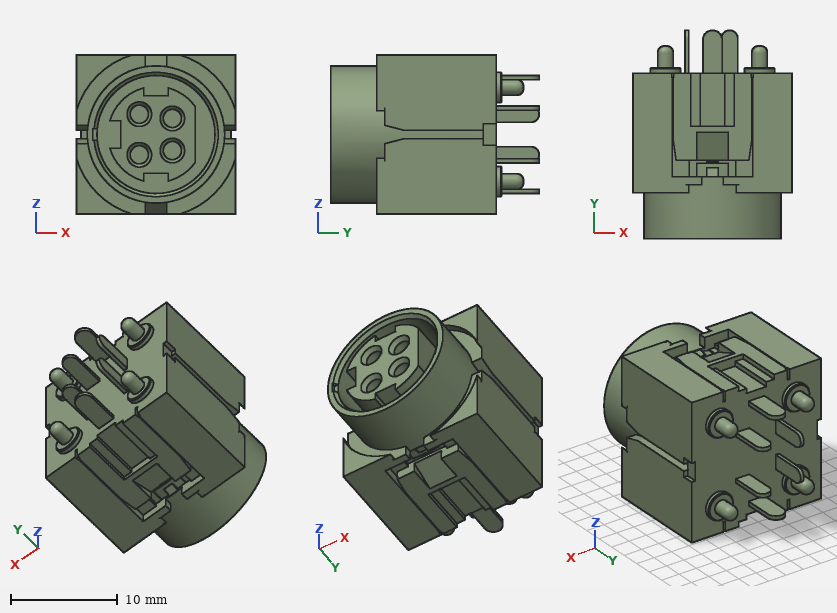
import cadquery as cq

housing_side = 14.9
half_side = housing_side / 2
housing_front = -11.2
recess_radius = 7.77
recess_floor = -10.43

shell_front = -15.5
shell_radius = 6.42
bore_radius = 5.52
bore_mouth_radius = 5.82
bore_taper_depth = 0.4
bore_depth = 9.0
mouth_notch_radius = 5.92
mouth_notch_width = 1.04

insert_radius = 4.5
insert_flat_x = 3.69
keyway_width = 2.26
keyway_floor_z = 3.6
side_keyway_width = 2.56
side_keyway_floor_x = -3.31

socket_positions = [(-1.56, 1.9), (-1.56, -1.9), (1.53, 1.5), (1.53, -1.5)]
socket_radius = 0.85
socket_mouth_radius = 1.15
socket_mouth_depth = 0.5
socket_depth = 5.0

slot_width = 0.76
slot_mouth_width = 1.72
slot_flare_start = -8.6
plug_depth = 1.25
plug_width = 2.0
plug_face_x = 7.03

window_front = -9.69
window_width = 7.5
window_floor = 6.4
window_channel_width = 4.32
window_channel_floor = 6.02
tongue_front = -8.18
tongue_width = 7.34
tongue_tip_width = 6.8
tongue_taper_start = -6.3
gap_relief_depth = 0.38
gap_relief_inner = 3.60
gap_relief_outer = 3.82
groove_end = -4.96
groove_step = 0.5
groove_widths = [4.06, 2.26]
ramp_width = 2.98
ramp_start = -5.52
ramp_floor = 6.4
front_slot_width = 2.0
latch_pocket_rear = -8.46
latch_pocket_radius = 6.12
catch_width = 1.04
catch_start = -8.87
catch_height = 0.22
catch_slot_rear = -8.3
catch_slot_depth = 0.2

terminal_length = 4.0
terminals = [
    (0.0, 5.32, 1.82, 0.44),
    (1.6, 2.46, 1.56, 0.42),
    (-2.4, 1.9, 0.38, 1.54),
]

peg_offset = 4.4
peg_radius = 0.74
peg_length = 2.53
peg_dome = 0.62
peg_base_radius = 1.43
peg_base_height = 0.5
peg_base_chamfer = 0.1


def box(x_range, y_range, z_range):
    """Box between the given pairs of limits."""
    lows = [min(limits) for limits in (x_range, y_range, z_range)]
    sizes = [abs(limits[1] - limits[0]) for limits in (x_range, y_range, z_range)]
    return cq.Workplane("XY").box(*sizes, centered=False).translate(tuple(lows))


def rod(radius, y_start, y_end, x=0.0, z=0.0):
    """Cylinder along Y."""
    low = min(y_start, y_end)
    plane = cq.Workplane("XZ", origin=(x, low, z))
    return plane.circle(radius).extrude(-abs(y_end - y_start))


def flared_hole(radius, mouth_radius, mouth_depth, depth, x=0.0, z=0.0):
    """Hole cutter opening at the shell front with a conical mouth."""
    outline = [
        (0, 0),
        (mouth_radius, 0),
        (radius, mouth_depth),
        (radius, depth),
        (0, depth),
    ]
    cutter = cq.Workplane("XY").polyline(outline).close().revolve(360, (0, 0), (0, 1))
    return cutter.translate((x, shell_front, z))


def both_sides(width):
    """Limits of a width centred on zero."""
    return (-width / 2, width / 2)


def make_housing():
    housing = box(both_sides(housing_side), (housing_front, 0), both_sides(housing_side))
    housing = housing.cut(rod(recess_radius, housing_front, recess_floor))
    return housing.union(rod(shell_radius, shell_front, recess_floor))


def make_insert():
    insert_rear = shell_front + bore_depth
    length = (shell_front, insert_rear)
    insert = rod(insert_radius, *length)
    insert = insert.cut(box((insert_flat_x, insert_radius), length, both_sides(2 * insert_radius)))
    for side in (1, -1):
        keyway_z = (side * keyway_floor_z, side * insert_radius)
        insert = insert.cut(box(both_sides(keyway_width), length, keyway_z))
    side_keyway_x = (-insert_radius, side_keyway_floor_x)
    return insert.cut(box(side_keyway_x, length, both_sides(side_keyway_width)))


def make_bore():
    """Space inside the shell around the contact insert."""
    bore = flared_hole(bore_radius, bore_mouth_radius, bore_taper_depth, bore_depth)
    notch_x = (-mouth_notch_radius, 0)
    notch = box(notch_x, (shell_front, shell_front + bore_taper_depth), both_sides(mouth_notch_width))
    return bore.union(notch).cut(make_insert())


def make_side_slots():
    half_slot = slot_width / 2
    half_mouth = slot_mouth_width / 2
    outline = [
        (-plug_depth, half_slot),
        (slot_flare_start, half_slot),
        (recess_floor, half_mouth),
        (recess_floor, -half_mouth),
        (slot_flare_start, -half_slot),
        (-plug_depth, -half_slot),
    ]
    slots = cq.Workplane("YZ").polyline(outline).close().extrude(half_side, both=True)
    slots = slots.cut(rod(shell_radius, housing_front, 0))
    for side in (1, -1):
        pocket_x = (side * plug_face_x, side * half_side)
        slots = slots.union(box(pocket_x, (-plug_depth, 0), both_sides(plug_width)))
    return slots


def make_tongue():
    outline = [
        (gap_relief_inner, 0),
        (gap_relief_inner, -gap_relief_depth),
        (tongue_width / 2, -gap_relief_depth),
        (tongue_width / 2, tongue_taper_start),
        (tongue_tip_width / 2, tongue_front),
    ]
    outline += [(-x, y) for x, y in reversed(outline)]
    plate = cq.Workplane("XY").workplane(offset=window_channel_floor).polyline(outline).close()
    tongue = plate.extrude(half_side - window_channel_floor)
    for level, width in enumerate(groove_widths, start=1):
        groove_z = (half_side - level * groove_step, half_side)
        tongue = tongue.cut(box(both_sides(width), (groove_end, 0), groove_z))
    ramp = [(ramp_start, half_side), (tongue_front, half_side), (tongue_front, ramp_floor)]
    ramp_cut = cq.Workplane("YZ").polyline(ramp).close().extrude(ramp_width / 2, both=True)
    return tongue.cut(ramp_cut)


def make_window():
    """Everything removed from the top side of the housing, except the catch."""
    above_floor = (window_floor, half_side)
    window = box(both_sides(window_width), (window_front, 0), above_floor)
    relief = box(both_sides(2 * gap_relief_outer), (-gap_relief_depth, 0), above_floor)
    channel_z = (window_channel_floor, half_side)
    channel = box(both_sides(window_channel_width), (window_front, tongue_front), channel_z)
    catch_slot_z = (window_channel_floor - catch_slot_depth, half_side)
    catch_slot = box(both_sides(catch_width), (latch_pocket_rear, catch_slot_rear), catch_slot_z)
    latch_z = (bore_mouth_radius, half_side)
    latch_pocket = box(both_sides(ramp_width), (window_front, latch_pocket_rear), latch_z)
    window = window.union(relief).union(channel).cut(make_tongue())
    window = window.union(catch_slot).union(latch_pocket)

    front_slot = box(both_sides(front_slot_width), (recess_floor, window_front), (0, half_side))
    return window.union(front_slot.cut(rod(shell_radius, recess_floor, window_front)))


def make_latch_bed():
    """Shell patch in front of the tongue, with the sloping catch on it."""
    length = (window_front, latch_pocket_rear)
    bed = box(both_sides(ramp_width), length, (bore_mouth_radius, half_side))
    bed = bed.intersect(rod(latch_pocket_radius, *length))
    base = bore_mouth_radius
    catch = [
        (catch_start, base),
        (catch_start, latch_pocket_radius),
        (window_front, latch_pocket_radius + catch_height),
        (window_front, base),
    ]
    return bed.union(cq.Workplane("YZ").polyline(catch).close().extrude(catch_width / 2, both=True))


def make_terminal(x, z, size_x, size_z):
    width = max(size_x, size_z)
    thickness = min(size_x, size_z)
    radius = width / 2
    shoulder = terminal_length - radius
    blade = (
        cq.Workplane("XY")
        .moveTo(-radius, 0)
        .lineTo(-radius, shoulder)
        .threePointArc((0, terminal_length), (radius, shoulder))
        .lineTo(radius, 0)
        .close()
        .extrude(thickness / 2, both=True)
    )
    if size_z > size_x:
        blade = blade.rotate((0, 0, 0), (0, 1, 0), 90)
    return blade.translate((x, 0, z))


def make_peg(x, z):
    base = rod(peg_base_radius, 0, peg_base_height, x, z).faces(">Y").chamfer(peg_base_chamfer)
    peg = rod(peg_radius, 0, peg_length, x, z).faces(">Y").edges().fillet(peg_dome)
    return base.union(peg)


result = make_housing().cut(make_bore()).cut(make_side_slots())

window = make_window()
latch_bed = make_latch_bed()
for turn in (0, 180):
    result = result.cut(window.rotate((0, 0, 0), (0, 1, 0), turn))
    result = result.union(latch_bed.rotate((0, 0, 0), (0, 1, 0), turn))

for x, z in socket_positions:
    socket = flared_hole(socket_radius, socket_mouth_radius, socket_mouth_depth, socket_depth, x, z)
    result = result.cut(socket)

for side in (1, -1):
    for x, z, size_x, size_z in terminals:
        result = result.union(make_terminal(x, side * z, size_x, size_z))
    for x in (-peg_offset, peg_offset):
        result = result.union(make_peg(x, side * peg_offset))